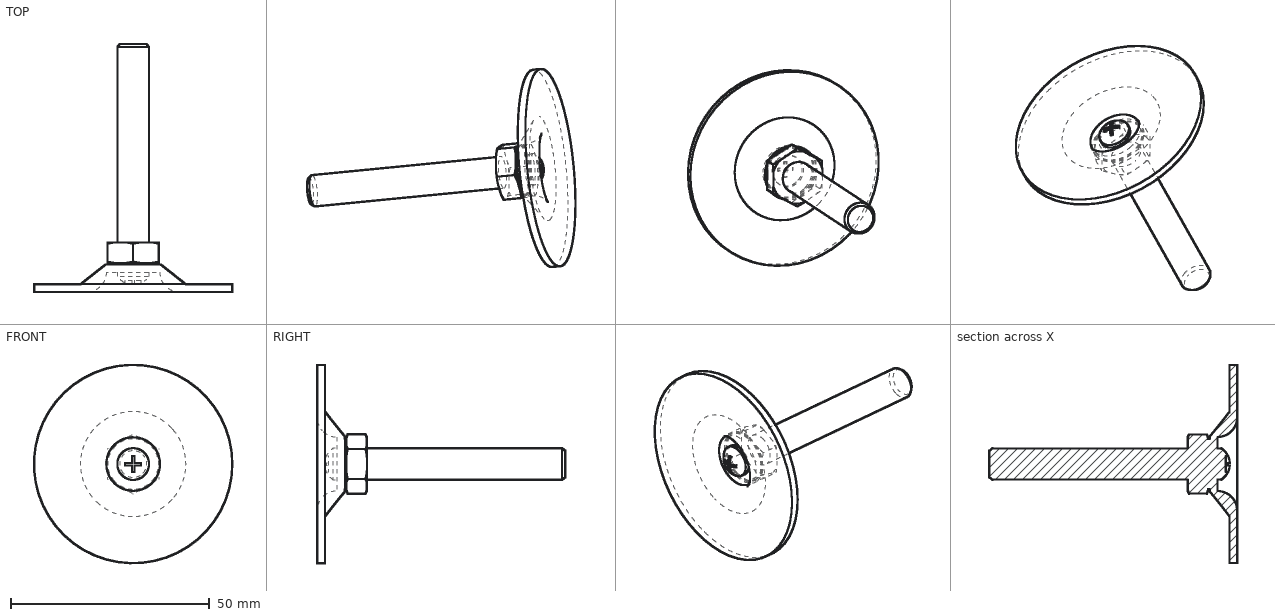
import cadquery as cq
import math

total_length = 62.5

plate_diameter = 50.0
plate_thickness = 2.0

cone_base_diameter = 26.5
cone_top_diameter = 13.9
cone_top_y = 7.0

recess_floor_diameter = 13.5
flare_radius = 5.0

shank_diameter = 8.0
shank_chamfer_length = 0.8
shank_chamfer_depth = 0.6
neck_diameter = 12.75
nut_across_flats = 13.0
nut_start_y = 7.4
nut_height = 5.1
nut_chamfer_circle = 13.5
nut_chamfer_height = 0.3

head_rim_height = 1.0
head_dome_height = 2.1
slot_length = 4.0
slot_width = 0.6
slot_depth = 1.0


def revolve_about_y(profile):
    """Close a (radius, Y) profile and turn it fully about the Y axis."""
    return profile.close().revolve(360, (0, 0, 0), (0, 1, 0))


def make_foot():
    """Plate and conical hub with the trumpet-shaped recess left open."""
    floor_radius = recess_floor_diameter / 2
    mouth_radius = floor_radius + flare_radius
    arc_offset = flare_radius * (1 - math.sqrt(0.5))
    profile = (
        cq.Workplane("XY")
        .moveTo(0, flare_radius)
        .lineTo(floor_radius, flare_radius)
        .threePointArc((floor_radius + arc_offset, arc_offset), (mouth_radius, 0))
        .lineTo(plate_diameter / 2, 0)
        .lineTo(plate_diameter / 2, plate_thickness)
        .lineTo(cone_base_diameter / 2, plate_thickness)
        .lineTo(cone_top_diameter / 2, cone_top_y)
        .lineTo(0, cone_top_y)
    )
    return revolve_about_y(profile)


def make_shank():
    """Neck under the nut and the long shank with its chamfered end."""
    shank_radius = shank_diameter / 2
    neck_radius = neck_diameter / 2
    profile = (
        cq.Workplane("XY")
        .moveTo(0, flare_radius)
        .lineTo(neck_radius, flare_radius)
        .lineTo(neck_radius, nut_start_y)
        .lineTo(shank_radius, nut_start_y)
        .lineTo(shank_radius, total_length - shank_chamfer_length)
        .lineTo(shank_radius - shank_chamfer_depth, total_length)
        .lineTo(0, total_length)
    )
    return revolve_about_y(profile)


def make_nut():
    """Hexagon with corners on Z, its corners bevelled at both ends."""
    nut_end_y = nut_start_y + nut_height
    corner_diameter = nut_across_flats / math.cos(math.pi / 6)
    hexagon = (
        cq.Workplane("XZ", origin=(0, nut_start_y, 0))
        .transformed(rotate=(0, 0, 90))
        .polygon(6, corner_diameter)
        .extrude(-nut_height)
    )
    bevel_profile = (
        cq.Workplane("XY")
        .moveTo(0, nut_start_y)
        .lineTo(nut_chamfer_circle / 2, nut_start_y)
        .lineTo(corner_diameter / 2, nut_start_y + nut_chamfer_height)
        .lineTo(corner_diameter / 2, nut_end_y - nut_chamfer_height)
        .lineTo(nut_chamfer_circle / 2, nut_end_y)
        .lineTo(0, nut_end_y)
    )
    return hexagon.intersect(revolve_about_y(bevel_profile))


def make_head():
    """Screw head standing on the recess floor: short rim, dome, cross slot."""
    head_radius = shank_diameter / 2
    rim_y = flare_radius - head_rim_height
    apex_y = rim_y - head_dome_height
    sphere_radius = (head_radius**2 + head_dome_height**2) / (2 * head_dome_height)
    middle_radius = head_radius / 2
    middle_y = apex_y + sphere_radius - math.sqrt(sphere_radius**2 - middle_radius**2)
    profile = (
        cq.Workplane("XY")
        .moveTo(0, flare_radius)
        .lineTo(head_radius, flare_radius)
        .lineTo(head_radius, rim_y)
        .threePointArc((middle_radius, middle_y), (0, apex_y))
    )
    head = revolve_about_y(profile)
    for size_x, size_z in ((slot_length, slot_width), (slot_width, slot_length)):
        slot = cq.Workplane("XZ", origin=(0, apex_y, 0)).rect(size_x, size_z).extrude(-slot_depth)
        head = head.cut(slot)
    return head


result = make_foot().union(make_shank()).union(make_nut()).union(make_head())